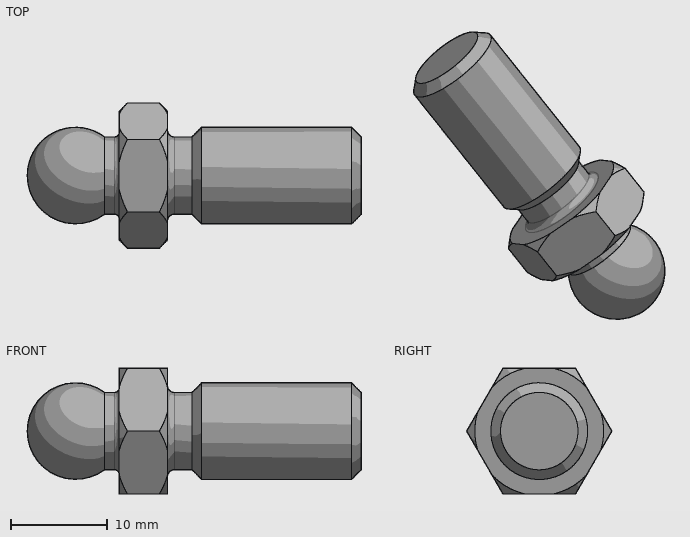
import cadquery as cq
import math

ball_radius = 5.0
overall_length = 34.5
neck_radius = 4.0

hex_across_flats = 13.0
hex_thickness = 5.0
hex_start = 4.5
hex_chamfer = 0.85

shank_radius = 5.0
shank_length = 17.5
shank_chamfer = 1.0

ball_side_fillet = 0.5
shank_side_fillet = 0.7

hex_end = hex_start + hex_thickness
hex_corner_radius = hex_across_flats / math.sqrt(3)
shank_end = overall_length - ball_radius
shank_start = shank_end - shank_length


def turned_body():
    """Ball, both necks and the shank, revolved about X in one profile."""
    ball_end = math.sqrt(ball_radius**2 - neck_radius**2)
    bulge = 1 - math.sqrt(0.5)
    ball_fillet_mid = (hex_start - ball_side_fillet * bulge, neck_radius + ball_side_fillet * bulge)
    shank_fillet_mid = (hex_end + shank_side_fillet * bulge, neck_radius + shank_side_fillet * bulge)
    return (
        cq.Workplane("XY")
        .moveTo(-ball_radius, 0)
        .threePointArc((0, ball_radius), (ball_end, neck_radius))
        .lineTo(hex_start - ball_side_fillet, neck_radius)
        .threePointArc(ball_fillet_mid, (hex_start, neck_radius + ball_side_fillet))
        .lineTo(hex_end, neck_radius + shank_side_fillet)
        .threePointArc(shank_fillet_mid, (hex_end + shank_side_fillet, neck_radius))
        .lineTo(shank_start, neck_radius)
        .lineTo(shank_start + shank_chamfer, shank_radius)
        .lineTo(shank_end - shank_chamfer, shank_radius)
        .lineTo(shank_end, shank_radius - shank_chamfer)
        .lineTo(shank_end, 0)
        .close()
        .revolve(360, (0, 0, 0), (1, 0, 0))
    )


def hex_collar():
    """Hexagon whose corners are turned off by a 45 degree cone on each face."""
    prism = (
        cq.Workplane("YZ")
        .workplane(offset=hex_start)
        .polygon(6, 2 * hex_corner_radius)
        .extrude(hex_thickness)
    )
    chamfered_disc = (
        cq.Workplane("YZ")
        .workplane(offset=hex_start)
        .circle(hex_corner_radius)
        .extrude(hex_thickness)
        .edges("%CIRCLE")
        .chamfer(hex_chamfer)
    )
    return prism.intersect(chamfered_disc)


result = turned_body().union(hex_collar())